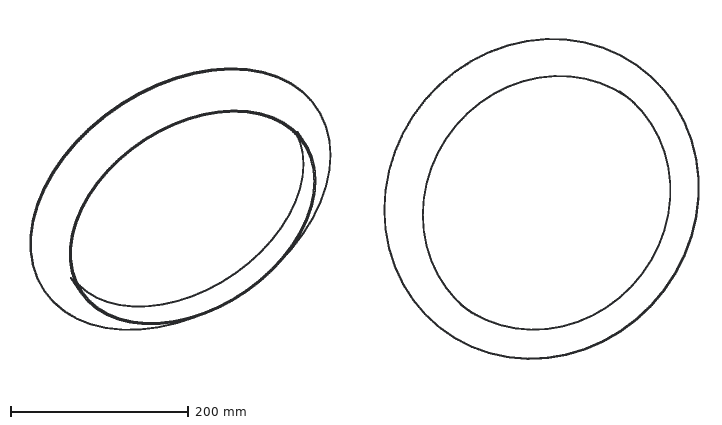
import cadquery as cq

flange_diameter = 370.0
tube_outer_diameter = 304.0
tube_inner_diameter = 300.0
length = 35.0
flange_thickness = 2.5
mouth_radius = 7.0
root_radius = 5.0

flange_radius = flange_diameter / 2
outer_radius = tube_outer_diameter / 2
inner_radius = tube_inner_diameter / 2

section = (
    cq.Workplane("XY")
    .moveTo(0, inner_radius + mouth_radius)
    .lineTo(0, flange_radius)
    .lineTo(flange_thickness, flange_radius)
    .lineTo(flange_thickness, outer_radius + root_radius)
    .radiusArc((flange_thickness + root_radius, outer_radius), -root_radius)
    .lineTo(length, outer_radius)
    .lineTo(length, inner_radius)
    .lineTo(mouth_radius, inner_radius)
    .radiusArc((0, inner_radius + mouth_radius), mouth_radius)
    .close()
)

result = section.revolve(360, (0, 0, 0), (1, 0, 0))